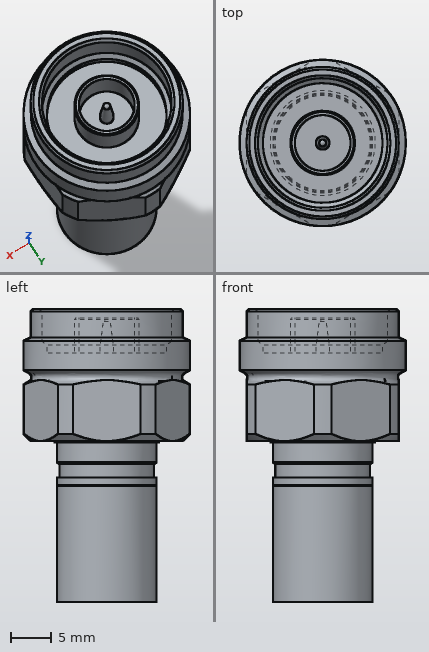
import cadquery as cq
import math

TOTAL_LENGTH = 36.6

COLLAR_R = 10.4
COLLAR_BOTTOM_Z = 28.95
COLLAR_TOP_Z = 32.6
COLLAR_CHAMFER_H = 0.45
HEX_SIDES = 6
HEX_ACROSS_FLATS = 19.0
HEX_APOTHEM = HEX_ACROSS_FLATS / 2
HEX_BOTTOM_Z = 20.1
HEX_CORNER_TOP_Z = 27.15
RIM_CHAMFER = 0.33
NECK_R = 9.4
NECK_Z = (COLLAR_BOTTOM_Z + HEX_CORNER_TOP_Z) / 2
NECK_CONE_ANGLE = math.radians(30)

MOUTH_CHAMFER = 0.35
BORE_R = 8.1
SEAT_R = 7.45
SEAT_TOP_Z = 32.57
SEAT_CONE_H = 0.5
SOCKET_FLOOR_Z = 31.1

TUBE_R = 4.03
TUBE_BORE_R = 3.48
TUBE_TOP_Z = 35.43
TUBE_CHAMFER = 0.15
PIN_R = 0.85
PIN_TAPER_START_Z = 31.85
PIN_TIP_R = 0.45
PIN_TAPER_END_Z = 35.0
PIN_DOME_H = 0.3

FERRULE_DIAMETER = 12.48
FERRULE_R = FERRULE_DIAMETER / 2
FERRULE_TOP_Z = 14.5
RING_TOP_Z = 15.55
RING_CHAMFER = 0.1
GROOVE_R = 5.93
SLEEVE_BOTTOM_Z = 17.5
SLEEVE_CHAMFER = 0.25
WASHER_R = 6.55
WASHER_H = 0.15


def revolve_profile(profile):
    """Turn a closed (radius, height) outline about the Z axis."""
    return profile.close().revolve(360, (0, 0, 0), (0, 1, 0))


def nut_blank():
    """Round outside of the coupling nut, as a solid."""
    half_gap = (COLLAR_BOTTOM_Z - HEX_CORNER_TOP_Z) / 2
    cone_slope = math.tan(NECK_CONE_ANGLE)
    arc_height = math.cos(NECK_CONE_ANGLE)
    arc_depth = 1 - math.sin(NECK_CONE_ANGLE)
    neck_arc_r = (half_gap - (COLLAR_R - NECK_R) * cone_slope) / (arc_height - arc_depth * cone_slope)
    tangent_r = NECK_R + neck_arc_r * arc_depth
    tangent_dz = neck_arc_r * arc_height
    hex_chamfer = COLLAR_R - HEX_APOTHEM
    return revolve_profile(
        cq.Workplane("XZ")
        .moveTo(0, HEX_BOTTOM_Z)
        .lineTo(HEX_APOTHEM, HEX_BOTTOM_Z)
        .lineTo(COLLAR_R, HEX_BOTTOM_Z + hex_chamfer)
        .lineTo(COLLAR_R, HEX_CORNER_TOP_Z)
        .lineTo(tangent_r, NECK_Z - tangent_dz)
        .threePointArc((NECK_R, NECK_Z), (tangent_r, NECK_Z + tangent_dz))
        .lineTo(COLLAR_R, COLLAR_BOTTOM_Z)
        .lineTo(COLLAR_R, COLLAR_TOP_Z)
        .lineTo(HEX_APOTHEM, COLLAR_TOP_Z + COLLAR_CHAMFER_H)
        .lineTo(HEX_APOTHEM, TOTAL_LENGTH - RIM_CHAMFER)
        .lineTo(HEX_APOTHEM - RIM_CHAMFER, TOTAL_LENGTH)
        .lineTo(0, TOTAL_LENGTH)
    )


def hex_cutter():
    """Ring that trims the lower nut to six flats, two of them facing +X and -X."""
    height = NECK_Z - HEX_BOTTOM_Z
    half_corner_angle = 180 / HEX_SIDES
    corner_diameter = HEX_ACROSS_FLATS / math.cos(math.radians(half_corner_angle))
    base = cq.Workplane("XY", origin=(0, 0, HEX_BOTTOM_Z))
    turned = base.transformed(rotate=(0, 0, half_corner_angle))
    hexagon = turned.polygon(HEX_SIDES, corner_diameter).extrude(height)
    return base.circle(2 * COLLAR_R).extrude(height).cut(hexagon)


def socket():
    """Stepped front cavity, with a conical seat above its floor."""
    return revolve_profile(
        cq.Workplane("XZ")
        .moveTo(0, SOCKET_FLOOR_Z)
        .lineTo(SEAT_R, SOCKET_FLOOR_Z)
        .lineTo(SEAT_R, SEAT_TOP_Z - SEAT_CONE_H)
        .lineTo(BORE_R, SEAT_TOP_Z)
        .lineTo(BORE_R, TOTAL_LENGTH - MOUTH_CHAMFER)
        .lineTo(BORE_R + MOUTH_CHAMFER, TOTAL_LENGTH)
        .lineTo(0, TOTAL_LENGTH)
    )


def contact_tube():
    """Outer contact standing on the socket floor."""
    height = TUBE_TOP_Z - SOCKET_FLOOR_Z
    tube = cq.Workplane("XY", origin=(0, 0, SOCKET_FLOOR_Z)).circle(TUBE_R).extrude(height)
    tube = tube.faces(">Z").chamfer(TUBE_CHAMFER)
    return tube.faces(">Z").workplane().circle(TUBE_BORE_R).cutBlind(-height)


def centre_pin():
    """Tapered pin with a low domed tip."""
    dome_r = (PIN_TIP_R**2 + PIN_DOME_H**2) / (2 * PIN_DOME_H)
    dome_top_z = PIN_TAPER_END_Z + PIN_DOME_H
    half_angle = math.asin(PIN_TIP_R / dome_r) / 2
    dome_mid = (dome_r * math.sin(half_angle), dome_top_z - dome_r * (1 - math.cos(half_angle)))
    return revolve_profile(
        cq.Workplane("XZ")
        .moveTo(0, SOCKET_FLOOR_Z)
        .lineTo(PIN_R, SOCKET_FLOOR_Z)
        .lineTo(PIN_R, PIN_TAPER_START_Z)
        .lineTo(PIN_TIP_R, PIN_TAPER_END_Z)
        .threePointArc(dome_mid, (0, dome_top_z))
    )


def rear_body():
    """Ferrule, ring, groove and sleeve behind the nut."""
    washer_bottom_z = HEX_BOTTOM_Z - WASHER_H
    return revolve_profile(
        cq.Workplane("XZ")
        .moveTo(0, 0)
        .lineTo(FERRULE_R, 0)
        .lineTo(FERRULE_R, FERRULE_TOP_Z)
        .lineTo(FERRULE_R - RING_CHAMFER, FERRULE_TOP_Z)
        .lineTo(FERRULE_R, FERRULE_TOP_Z + RING_CHAMFER)
        .lineTo(FERRULE_R, RING_TOP_Z)
        .lineTo(GROOVE_R, RING_TOP_Z)
        .lineTo(GROOVE_R, SLEEVE_BOTTOM_Z - SLEEVE_CHAMFER)
        .lineTo(FERRULE_R - SLEEVE_CHAMFER, SLEEVE_BOTTOM_Z - SLEEVE_CHAMFER)
        .lineTo(FERRULE_R, SLEEVE_BOTTOM_Z)
        .lineTo(FERRULE_R, washer_bottom_z)
        .lineTo(WASHER_R, washer_bottom_z)
        .lineTo(WASHER_R, HEX_BOTTOM_Z)
        .lineTo(0, HEX_BOTTOM_Z)
    )


nut = nut_blank().cut(hex_cutter()).cut(socket())
result = nut.union(rear_body()).union(contact_tube()).union(centre_pin())